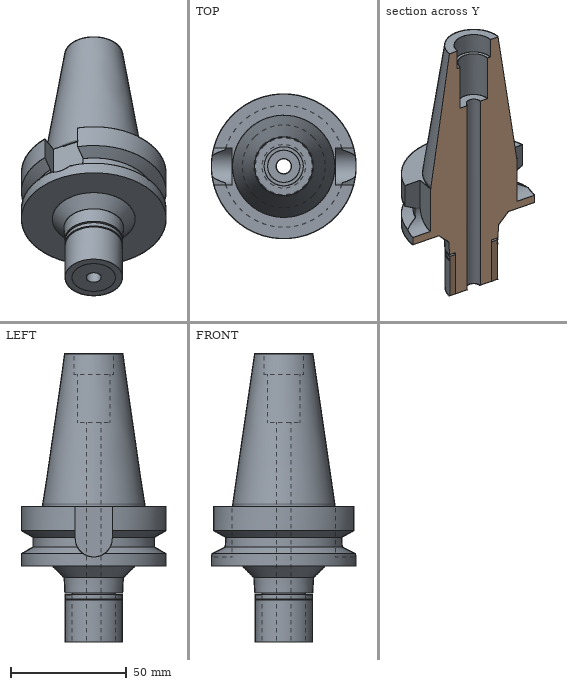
import cadquery as cq
import math


gauge_radius = 44.45 / 2
taper_ratio = 7 / 48
taper_length = 65.4
taper_tip_radius = gauge_radius - taper_length * taper_ratio
bolt_relief_radius = 8.5
bolt_relief_depth = 9.0
bolt_bore_radius = 7.0
bolt_bore_depth = 30.0
coolant_bore_radius = 3.25

flange_radius = 63 / 2
flange_top = -1.0
flange_bottom = -27.0
groove_middle = -16.6
groove_floor_radius = 26.5
groove_flank_angle = math.radians(30)
groove_apex_radius = 22.84


def groove_half_width(radius):
    return (radius - groove_apex_radius) * math.tan(groove_flank_angle)


slot_width = 16.1
slot_floor = 22.5
slot_bottom = -23.0
slot_side_positions = (-1, 1)

shoulder_top_radius = 18.0
shoulder_bottom_radius = 13.0
shoulder_bottom = flange_bottom - (shoulder_top_radius - shoulder_bottom_radius)
nose_end_radius = 12.6
nose_end = -38.7

nut_radius = 25 / 2
nut_top = -39.4
nut_bottom = -60.0
spigot_radius = 9.45
nut_groove_top = -41.3
nut_groove_width = 0.35
nut_groove_depth = 0.2


def make_holder_blank():
    outer_half_width = groove_half_width(flange_radius)
    floor_half_width = groove_half_width(groove_floor_radius)
    return (
        cq.Workplane("XZ")
        .moveTo(0, taper_length)
        .lineTo(taper_tip_radius, taper_length)
        .lineTo(gauge_radius, 0)
        .lineTo(gauge_radius, flange_top)
        .lineTo(flange_radius, flange_top)
        .lineTo(flange_radius, groove_middle + outer_half_width)
        .lineTo(groove_floor_radius, groove_middle + floor_half_width)
        .lineTo(groove_floor_radius, groove_middle - floor_half_width)
        .lineTo(flange_radius, groove_middle - outer_half_width)
        .lineTo(flange_radius, flange_bottom)
        .lineTo(shoulder_top_radius, flange_bottom)
        .lineTo(shoulder_bottom_radius, shoulder_bottom)
        .lineTo(nose_end_radius, nose_end)
        .lineTo(spigot_radius, nose_end)
        .lineTo(spigot_radius, nut_bottom)
        .lineTo(0, nut_bottom)
        .close()
        .revolve(360, (0, 0, 0), (0, 1, 0))
    )


def make_bore():
    return (
        cq.Workplane("XY", origin=(0, 0, taper_length))
        .circle(coolant_bore_radius)
        .extrude(nut_bottom - taper_length)
        .union(
            cq.Workplane("XY", origin=(0, 0, taper_length))
            .circle(bolt_bore_radius)
            .extrude(-bolt_bore_depth)
        )
        .union(
            cq.Workplane("XY", origin=(0, 0, taper_length))
            .circle(bolt_relief_radius)
            .extrude(-bolt_relief_depth)
        )
    )


def make_slot_cutter(side):
    half_width = slot_width / 2
    arc_center = slot_bottom + half_width
    return (
        cq.Workplane("YZ", origin=(side * slot_floor, 0, 0))
        .moveTo(-half_width, flange_top)
        .lineTo(-half_width, arc_center)
        .threePointArc((0, slot_bottom), (half_width, arc_center))
        .lineTo(half_width, flange_top)
        .close()
        .extrude(side * (flange_radius - slot_floor))
    )


def make_holder():
    body = make_holder_blank().cut(make_bore())
    for side in slot_side_positions:
        body = body.cut(make_slot_cutter(side))
    return body


def make_nut():
    sleeve = (
        cq.Workplane("XY", origin=(0, 0, nut_bottom))
        .circle(nut_radius)
        .circle(spigot_radius)
        .extrude(nut_top - nut_bottom)
    )
    ring_groove = (
        cq.Workplane("XY", origin=(0, 0, nut_groove_top))
        .circle(nut_radius)
        .circle(nut_radius - nut_groove_depth)
        .extrude(-nut_groove_width)
    )
    return sleeve.cut(ring_groove)


holder = make_holder()
nut = make_nut()

result = cq.Compound.makeCompound([holder.val(), nut.val()])